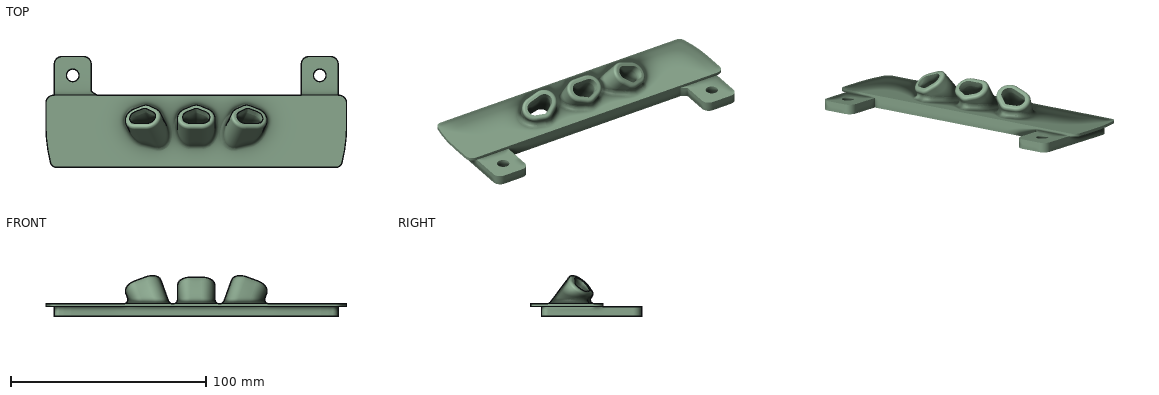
import cadquery as cq
import math

plate_half_length = 77.0
plate_depth = 37.0
plate_thickness = 1.5
bow_start_y = 21.5
rear_corner_radius = 4.0
front_corner_radius = 3.3

base_thickness = 5.0
base_half_length = 72.7
base_front_y = 5.5
nose_half_length = 64.0
shoulder_half_length = 67.9
shoulder_setback = 0.15
corner_setback = 0.6
base_corner_radius = 3.0
overall_depth = 56.8
tab_width = 19.0
tab_corner_radius = 4.0
hole_diameter = 6.3
hole_to_tab_end = 9.7
gusset_width = 3.0
gusset_depth = 2.0

nozzle_spacing = 23.9
nozzle_front_y = 10.4
nozzle_height = 14.17
lean_back = 35.0
lean_sideways = 20.0
flat_half_width = 3.1
outer_radius = 6.55
nozzle_wall = 2.7
peak_angle = 26.0
peak_radius = 4.8
rim_radius = 1.5
mouth_flare = 0.5
mouth_depth = 3.3
root_radius = 2.0

margin = 1.0
flat_margin = 0.01

plate_top = base_thickness + plate_thickness
lean = math.radians(lean_back)
lean_axis = cq.Vector(0, math.sin(lean), math.cos(lean))
rim_distance = nozzle_height / math.cos(lean)
nozzle_root = -2 * outer_radius


def make_plate():
    front_half_length = math.sqrt(plate_half_length**2 - bow_start_y**2)
    bow_mid_angle = math.asin(bow_start_y / plate_half_length) / 2
    bow_mid_x = plate_half_length * math.cos(bow_mid_angle)
    bow_mid_y = bow_start_y - plate_half_length * math.sin(bow_mid_angle)
    outline = (
        cq.Workplane("XY", origin=(0, 0, base_thickness))
        .moveTo(-front_half_length, 0)
        .lineTo(front_half_length, 0)
        .threePointArc((bow_mid_x, bow_mid_y), (plate_half_length, bow_start_y))
        .lineTo(plate_half_length, plate_depth)
        .lineTo(-plate_half_length, plate_depth)
        .lineTo(-plate_half_length, bow_start_y)
        .threePointArc((-bow_mid_x, bow_mid_y), (-front_half_length, 0))
        .close()
    )
    plate = outline.extrude(plate_thickness)
    plate = plate.edges("|Z and >Y").fillet(rear_corner_radius)
    return plate.edges("|Z and <Y").fillet(front_corner_radius)


def make_base():
    corner_y = base_front_y + corner_setback
    shoulder_y = base_front_y + shoulder_setback
    slab = (
        cq.Workplane("XY")
        .moveTo(-nose_half_length, base_front_y)
        .lineTo(nose_half_length, base_front_y)
        .lineTo(shoulder_half_length, shoulder_y)
        .lineTo(base_half_length, corner_y)
        .lineTo(base_half_length, plate_depth)
        .lineTo(-base_half_length, plate_depth)
        .lineTo(-base_half_length, corner_y)
        .lineTo(-shoulder_half_length, shoulder_y)
        .close()
        .extrude(base_thickness)
    )
    front_corners = cq.selectors.BoxSelector(
        (-base_half_length - flat_margin, corner_y - flat_margin, -margin),
        (base_half_length + flat_margin, corner_y + flat_margin, base_thickness + margin),
    )
    return slab.edges("|Z").edges(front_corners).fillet(base_corner_radius)


def make_tab(side):
    tab_length = overall_depth - plate_depth
    center_x = side * (base_half_length - tab_width / 2)
    tab = (
        cq.Workplane("XY")
        .center(center_x, plate_depth + tab_length / 2)
        .rect(tab_width, tab_length)
        .extrude(base_thickness)
        .edges("|Z and >Y")
        .fillet(tab_corner_radius)
    )
    hole = (
        cq.Workplane("XY")
        .center(center_x, overall_depth - hole_to_tab_end)
        .circle(hole_diameter / 2)
        .extrude(base_thickness)
    )
    return tab.cut(hole)


def make_gusset():
    """Small triangular web in the inner corner of the -X tab."""
    corner_x = -base_half_length + tab_width
    return (
        cq.Workplane("XY")
        .moveTo(corner_x, plate_depth)
        .lineTo(corner_x + gusset_width, plate_depth)
        .lineTo(corner_x, plate_depth + gusset_depth)
        .close()
        .extrude(base_thickness)
    )


def nozzle_section(inset, distance):
    """D-shaped wire across the leaning axis; inset shrinks it evenly."""
    peak = math.radians(peak_angle)
    origin = cq.Vector(0, nozzle_front_y, plate_top) + lean_axis * distance
    radius = outer_radius - inset
    side_x = flat_half_width + radius
    tangent_x = flat_half_width + radius * math.sin(peak)
    tangent_y = outer_radius + radius * math.cos(peak)
    round_radius = peak_radius - inset
    round_x = round_radius * math.sin(peak)
    round_center_y = (
        outer_radius
        + (outer_radius - peak_radius) / math.cos(peak)
        + flat_half_width * math.tan(peak)
    )
    round_y = round_center_y + round_radius * math.cos(peak)
    section = (
        cq.Workplane(cq.Plane(origin, xDir=(1, 0, 0), normal=lean_axis))
        .moveTo(-flat_half_width, inset)
        .lineTo(flat_half_width, inset)
        .threePointArc((side_x, outer_radius), (tangent_x, tangent_y))
        .lineTo(round_x, round_y)
        .threePointArc((0, round_center_y + round_radius), (-round_x, round_y))
        .lineTo(-tangent_x, tangent_y)
        .threePointArc((-side_x, outer_radius), (-flat_half_width, inset))
        .close()
    )
    return section.val()


def nozzle_prism(start_inset, start, end_inset, end):
    """Solid between two sections at given distances along the leaning axis."""
    sections = [nozzle_section(start_inset, start), nozzle_section(end_inset, end)]
    return cq.Workplane(cq.Solid.makeLoft(sections, True))


def make_nozzle_body():
    """Centred tube without its bore, running down past the plate."""
    body = nozzle_prism(0, nozzle_root, 0, rim_distance)
    rim_face = cq.selectors.DirectionMinMaxSelector(lean_axis, True)
    return body.faces(rim_face).edges().fillet(rim_radius)


def make_bore():
    """Centred bore: a straight passage that widens evenly towards the mouth."""
    throat_inset = nozzle_wall + mouth_flare
    throat_distance = rim_distance - mouth_depth
    passage = nozzle_prism(throat_inset, nozzle_root, throat_inset, throat_distance)
    mouth = nozzle_prism(throat_inset, throat_distance, nozzle_wall, rim_distance)
    return passage.union(mouth)


def swing(body, sideways):
    """Tip a centred body towards +X about the line where it leaves the plate."""
    pivot = (0, 0, plate_top)
    return body.rotate(pivot, (0, 1, plate_top), sideways)


def make_nozzle_on_pad(sideways):
    """Nozzle rising from a piece of the plate, with its root rounded."""
    pad = (
        cq.Workplane("XY", origin=(0, plate_depth / 2, base_thickness))
        .rect(plate_half_length, plate_depth)
        .extrude(plate_thickness)
    )
    above_base = (
        cq.Workplane("XY", origin=(0, plate_depth / 2, base_thickness))
        .rect(plate_half_length, 2 * plate_depth)
        .extrude(plate_half_length)
    )
    nozzle = pad.union(swing(make_nozzle_body(), sideways).intersect(above_base))
    root_zone = cq.selectors.BoxSelector(
        (margin - plate_half_length / 2, margin, plate_top - flat_margin),
        (plate_half_length / 2 - margin, plate_depth - margin, plate_top + flat_margin),
        boundingbox=True,
    )
    return nozzle.edges(root_zone).fillet(root_radius)


result = make_plate().union(make_base()).union(make_gusset())
for side in (-1, 1):
    result = result.union(make_tab(side))

side_nozzle = make_nozzle_on_pad(lean_sideways).translate((nozzle_spacing, 0, 0))
side_bore = swing(make_bore(), lean_sideways).translate((nozzle_spacing, 0, 0))
nozzles = [make_nozzle_on_pad(0), side_nozzle, side_nozzle.mirror("YZ")]
bores = [make_bore(), side_bore, side_bore.mirror("YZ")]
for nozzle in nozzles:
    result = result.union(nozzle)
for bore in bores:
    result = result.cut(bore)